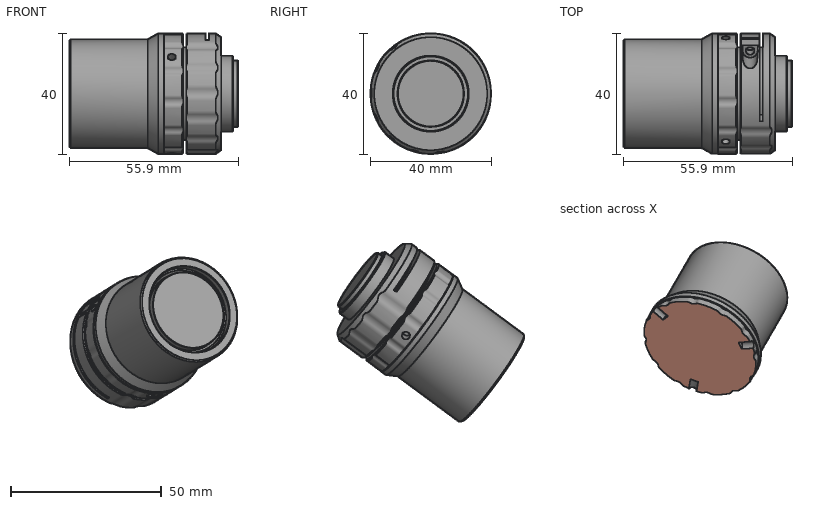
import cadquery as cq
import math

overall_length = 55.9
body_radius = 20.0
cutter_overrun = 0.55

barrel_radius = 18.05
barrel_chamfer = 0.5
flare_start = 25.95
flare_end = 29.45

lock_start = 31.4
lock_end = 37.7
ring_chamfer = 0.45
seam_width = 0.15
seam_depth = 0.2
lock_flute_count = 12
lock_flute_pitch = 360 / lock_flute_count
lock_flute_first = 22.5
lock_flute_depth = 0.6
lock_flute_floor_radius = 2.1
lock_flute_half_angle = 6.0
spanner_hole_count = 3
spanner_hole_diameter = 2.6
spanner_hole_depth = 4.45
spanner_hole_x = 33.9

neck_radius = 15.4

split_angle = 156.0
clamp_start = 38.7
clamp_end = 50.3
clamp_end_radius = 18.7
clamp_bevel_start = 48.45
clamp_flute_count = 7
clamp_flute_pitch = 25.0
clamp_flutes_middle = split_angle - 180
clamp_flute_depth = 0.53
clamp_flute_floor_radius = 3.65
clamp_flute_half_angle = 7.4

slot_start = 45.1
slot_end = 46.2
slot_sweep = 186.0
split_width = 1.25
screw_x = 42.0
screw_radius = 17.5
screw_seat_height = 4.4
screw_seat_diameter = 4.9
screw_hole_diameter = 2.8

mount_radius = 12.65
mount_end = 54.2
mount_chamfer = 0.35
tail_radius = 11.05
tail_chamfer = 0.2

recess_radius = 14.8
recess_chamfer = 0.15
recess_depth = 2.5
seat_cone_radius = 14.15
seat_cone_end_radius = 13.2
groove_depth = 3.65
window_radius = 13.1
window_chamfer = 0.1
window_depth = 0.95


def turned(points):
    """Revolve a closed (x, radius) outline about the X axis."""
    return cq.Workplane("XY").polyline(points).close().revolve(360, (0, 0, 0), (1, 0, 0))


def turn_to(shape, angle):
    """Move a shape built at angle 0 (the -Y side) round to the given angle."""
    return shape.rotate((0, 0, 0), (1, 0, 0), -angle)


def make_body():
    return turned([
        (0, 0),
        (0, barrel_radius - barrel_chamfer),
        (barrel_chamfer, barrel_radius),
        (flare_start, barrel_radius),
        (flare_end, body_radius),
        (lock_start - seam_width, body_radius),
        (lock_start - seam_width, body_radius - seam_depth),
        (lock_start, body_radius - seam_depth),
        (lock_start, body_radius),
        (lock_end - ring_chamfer, body_radius),
        (lock_end, body_radius - ring_chamfer),
        (lock_end, neck_radius),
        (clamp_start, neck_radius),
        (clamp_start, body_radius - ring_chamfer),
        (clamp_start + ring_chamfer, body_radius),
        (clamp_bevel_start, body_radius),
        (clamp_end, clamp_end_radius),
        (clamp_end, mount_radius),
        (mount_end - mount_chamfer, mount_radius),
        (mount_end, mount_radius - mount_chamfer),
        (mount_end, tail_radius),
        (overall_length - tail_chamfer, tail_radius),
        (overall_length, tail_radius - tail_chamfer),
        (overall_length, 0),
    ])


def make_recess():
    return turned([
        (0, 0),
        (0, recess_radius + recess_chamfer),
        (recess_chamfer, recess_radius),
        (recess_depth, recess_radius),
        (recess_depth, seat_cone_radius),
        (groove_depth, seat_cone_end_radius),
        (groove_depth, window_radius),
        (window_depth + window_chamfer, window_radius),
        (window_depth, window_radius - window_chamfer),
        (window_depth, 0),
    ])


def make_flute(start, end, depth, floor_radius, half_angle):
    """Cutter for one grip flute: a hollow arc blended into the rim by two tangent round shoulders."""
    half = math.radians(half_angle)
    floor_centre = body_radius - depth + floor_radius
    span = body_radius**2 + floor_centre**2 - 2 * body_radius * floor_centre * math.cos(half)
    shoulder_radius = (span - floor_radius**2) / (
        2 * (floor_radius + body_radius - floor_centre * math.cos(half)))
    shoulder_centre = body_radius - shoulder_radius

    def on_shoulder(side, turn):
        """Point on a shoulder arc whose outward direction is at the given turn from the flute axis."""
        y = -shoulder_centre * math.cos(half) - shoulder_radius * math.cos(turn)
        z = side * (shoulder_centre * math.sin(half) + shoulder_radius * math.sin(turn))
        return (y, z)

    join_turn = -math.atan2(
        shoulder_centre * math.sin(half),
        floor_centre - shoulder_centre * math.cos(half))
    middle_turn = (half + join_turn) / 2
    outside = -body_radius - cutter_overrun
    return (
        cq.Workplane("YZ", origin=(start, 0, 0))
        .moveTo(*on_shoulder(1, half))
        .threePointArc(on_shoulder(1, middle_turn), on_shoulder(1, join_turn))
        .threePointArc((depth - body_radius, 0), on_shoulder(-1, join_turn))
        .threePointArc(on_shoulder(-1, middle_turn), on_shoulder(-1, half))
        .lineTo(outside, on_shoulder(-1, half)[1])
        .lineTo(outside, on_shoulder(1, half)[1])
        .close()
        .extrude(end - start)
    )


def cut_lock_ring(body):
    """Flutes all round the lock ring, with spanner holes midway between flutes."""
    flute = make_flute(
        lock_start, lock_end, lock_flute_depth, lock_flute_floor_radius, lock_flute_half_angle)
    for index in range(lock_flute_count):
        body = body.cut(turn_to(flute, lock_flute_first + index * lock_flute_pitch))

    hole = (
        cq.Workplane("XZ", origin=(spanner_hole_x, -body_radius, 0))
        .circle(spanner_hole_diameter / 2)
        .extrude(-spanner_hole_depth)
    )
    first_hole = lock_flute_first + lock_flute_pitch / 2
    for index in range(spanner_hole_count):
        body = body.cut(turn_to(hole, first_hole + index * 360 / spanner_hole_count))
    return body


def cut_clamp_flutes(body):
    """Flutes round the clamp ring, leaving the clamp arm smooth."""
    flute = make_flute(
        clamp_start, clamp_end, clamp_flute_depth, clamp_flute_floor_radius, clamp_flute_half_angle)
    for index in range(clamp_flute_count):
        steps_from_middle = index - (clamp_flute_count - 1) / 2
        body = body.cut(turn_to(flute, clamp_flutes_middle + steps_from_middle * clamp_flute_pitch))
    return body


def cut_clamp_slot(body):
    """Slot part way round the clamp ring, down to the neck and with radial ends."""
    slot = (
        cq.Workplane("XY")
        .moveTo(slot_start, -neck_radius)
        .lineTo(slot_end, -neck_radius)
        .lineTo(slot_end, -body_radius - cutter_overrun)
        .lineTo(slot_start, -body_radius - cutter_overrun)
        .close()
        .revolve(slot_sweep, (0, 0, 0), (-1, 0, 0))
    )
    return body.cut(turn_to(slot, split_angle - slot_sweep / 2))


def cut_clamp_split(body):
    """Radial split from the front of the clamp ring to the slot, and the screw seat across it."""
    split = (
        cq.Workplane("XY")
        .box(slot_start - clamp_start, body_radius, split_width, centered=(False, False, True))
        .translate((clamp_start, -neck_radius - body_radius, 0))
    )
    neck = cq.Workplane("YZ").circle(neck_radius).extrude(overall_length)
    screw_plane = cq.Workplane("XY", origin=(screw_x, -screw_radius, 0))
    hole = screw_plane.circle(screw_hole_diameter / 2).extrude(-screw_seat_height)
    seat_plane = screw_plane.workplane(offset=-screw_seat_height)
    seat = seat_plane.circle(screw_seat_diameter / 2).extrude(-body_radius).union(
        seat_plane.center(0, -body_radius / 2)
        .rect(screw_seat_diameter, body_radius)
        .extrude(-body_radius)
    )
    for cutter in (split.cut(neck), hole, seat):
        body = body.cut(turn_to(cutter, split_angle))
    return body


result = make_body().cut(make_recess())
result = cut_lock_ring(result)
result = cut_clamp_flutes(result)
result = cut_clamp_slot(result)
result = cut_clamp_split(result)